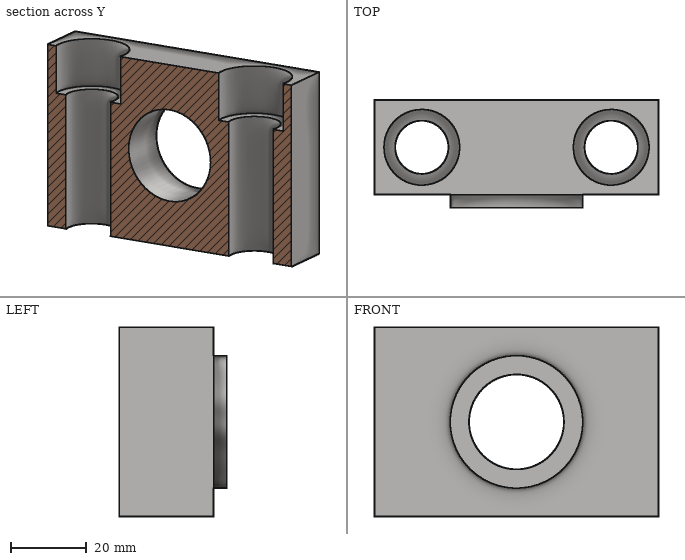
import cadquery as cq

block_length = 75.0
block_depth = 25.0
block_height = 50.0

collar_diameter = 35.0
collar_projection = 3.5
bore_diameter = 25.0

bolt_spacing = 50.0
bolt_hole_diameter = 14.0
counterbore_diameter = 20.0
counterbore_depth = 13.0


def make_block():
    return cq.Workplane("XY").box(
        block_length, block_depth, block_height, centered=(True, False, True)
    )


def add_collar(body):
    collar = cq.Workplane("XZ").circle(collar_diameter / 2).extrude(collar_projection)
    return body.union(collar)


def cut_bore(body):
    total_depth = collar_projection + block_depth
    bore = (
        cq.Workplane("XZ", origin=(0, -collar_projection, 0))
        .circle(bore_diameter / 2)
        .extrude(-total_depth)
    )
    return body.cut(bore)


def cut_bolt_holes(body):
    top_centre = (0, block_depth / 2, block_height / 2)
    return (
        body.faces(">Z")
        .workplane(origin=top_centre)
        .pushPoints([(-bolt_spacing / 2, 0), (bolt_spacing / 2, 0)])
        .cboreHole(bolt_hole_diameter, counterbore_diameter, counterbore_depth)
    )


result = cut_bolt_holes(cut_bore(add_collar(make_block())))